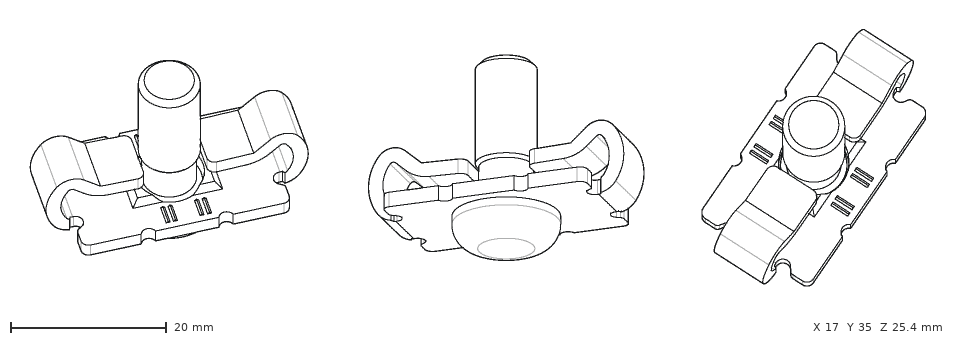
import cadquery as cq
import math

PLATE_HALF_WIDTH = 8.5
PLATE_HALF_LENGTH = 13.9
SHEET = 2.0
CORNER_RADIUS = 1.0

SIDE_NOTCH_RADIUS = 1.0
SIDE_NOTCH_DEPTH = 0.65
SIDE_NOTCH_Y = 5.18

RELIEF_RADIUS = 1.0
RELIEF_X = 4.35
RELIEF_DEPTH = 1.2
RELIEF_SLOPE = math.radians(57)
RELIEF_ROUNDING = 0.6
UNDERCUT_WALL_END_Y = 14.15
UNDERCUT_END_Y = 14.38

PAD_HALF_WIDTH = 4.05
PAD_HALF_LENGTH = 5.98
PAD_HEIGHT = 0.85
HOLE_RADIUS = 4.5

RIDGE_X = 6.25
RIDGE_LENGTH = 2.6
RIDGE_WIDTH = 0.52
RIDGE_HEIGHT = 0.2
RIDGE_Y_PLACES = (3.25, 2.25, -1.3, -2.27)

STRIP_HALF_WIDTH = 3.75
LOOP_END_Y = 17.5
LOOP_TOP_Z = 10.0
TOP_RADIUS = 2.52
TOP_CENTRE_Y = 14.1
BACK_RADIUS = 6.5
FOOT_RADIUS = 3.08
RAMP_ANGLE = math.radians(41.5)
KNEE_Y = 10.2
KNEE_INNER_RADIUS = 5.0
TIP_Y = 4.25
TIP_TOP_Z = 7.25
TIP_CORNER_RADIUS = 1.0

THREAD_RADIUS = 4.0
THREAD_TOP_Z = 21.0
THREAD_BOTTOM_Z = 7.25
TIP_CHAMFER = 0.77
SHANK_RADIUS = 3.55
COLLAR_RADIUS = 4.27
COLLAR_EDGE_Z = 1.12
HEAD_RADIUS = 7.0
HEAD_HEIGHT = 4.4
HEAD_ROUNDING = 3.32


def polar(centre, radius, angle):
    """Point on a circle, at an angle from the first axis of the plane toward its second."""
    return (centre[0] + radius * math.cos(angle), centre[1] + radius * math.sin(angle))


def make_flat_plate():
    plate = (
        cq.Workplane("XY")
        .box(2 * PLATE_HALF_WIDTH, 2 * PLATE_HALF_LENGTH, SHEET, centered=(True, True, False))
        .edges("|Z")
        .fillet(CORNER_RADIUS)
    )
    notch_x = PLATE_HALF_WIDTH - SIDE_NOTCH_DEPTH + SIDE_NOTCH_RADIUS
    side_notches = (
        cq.Workplane("XY")
        .rarray(2 * notch_x, 2 * SIDE_NOTCH_Y, 2, 2)
        .circle(SIDE_NOTCH_RADIUS)
        .extrude(SHEET)
    )
    return plate.cut(side_notches)


def make_relief_notch():
    """Cutter at +X, +Y: a rounded corner and slope run down to a round bottom, which undercuts the strip."""
    bottom_y = PLATE_HALF_LENGTH - RELIEF_DEPTH
    centre = (RELIEF_X, bottom_y + RELIEF_RADIUS)
    slope_end = polar(centre, RELIEF_RADIUS, RELIEF_SLOPE - math.pi / 2)

    rounding_centre_y = PLATE_HALF_LENGTH - RELIEF_ROUNDING
    rounding_end_y = rounding_centre_y + RELIEF_ROUNDING * math.cos(RELIEF_SLOPE)
    slope_start_x = slope_end[0] + (rounding_end_y - slope_end[1]) / math.tan(RELIEF_SLOPE)
    rounding_centre = (slope_start_x + RELIEF_ROUNDING * math.sin(RELIEF_SLOPE), rounding_centre_y)
    slope_start = polar(rounding_centre, RELIEF_ROUNDING, RELIEF_SLOPE + math.pi / 2)
    rounding_middle = polar(rounding_centre, RELIEF_ROUNDING, (RELIEF_SLOPE + math.pi) / 2)

    undercut_x = RELIEF_X - RELIEF_RADIUS
    return (
        cq.Workplane("XY")
        .moveTo(rounding_centre[0], PLATE_HALF_LENGTH)
        .threePointArc(rounding_middle, slope_start)
        .lineTo(*slope_end)
        .threePointArc((RELIEF_X, bottom_y), (undercut_x, centre[1]))
        .lineTo(undercut_x, UNDERCUT_WALL_END_Y)
        .lineTo(STRIP_HALF_WIDTH, UNDERCUT_END_Y)
        .lineTo(rounding_centre[0], UNDERCUT_END_Y)
        .close()
        .extrude(2 * SHEET)
    )


def make_pad():
    return (
        cq.Workplane("XY")
        .workplane(offset=SHEET)
        .rect(2 * PAD_HALF_WIDTH, 2 * PAD_HALF_LENGTH)
        .workplane(offset=PAD_HEIGHT)
        .rect(2 * (PAD_HALF_WIDTH - PAD_HEIGHT), 2 * (PAD_HALF_LENGTH - PAD_HEIGHT))
        .loft(ruled=True)
    )


def make_ridge(x, y):
    return (
        cq.Workplane("YZ")
        .moveTo(y - RIDGE_WIDTH / 2, SHEET)
        .lineTo(y, SHEET + RIDGE_HEIGHT)
        .lineTo(y + RIDGE_WIDTH / 2, SHEET)
        .close()
        .extrude(RIDGE_LENGTH / 2, both=True)
        .translate((x, 0, 0))
    )


def make_strip():
    """Strip at +Y: foot bend, long back, top bend, ramp down to a knee, nearly level tip."""
    top_centre = (TOP_CENTRE_Y, LOOP_TOP_Z - TOP_RADIUS)

    back_y = LOOP_END_Y - BACK_RADIUS
    top_turn = math.acos((TOP_CENTRE_Y - back_y) / (BACK_RADIUS - TOP_RADIUS))
    back_centre = polar(top_centre, TOP_RADIUS - BACK_RADIUS, top_turn)

    foot_turn = math.asin((FOOT_RADIUS - back_centre[1]) / (BACK_RADIUS - FOOT_RADIUS))
    foot_centre = polar(back_centre, BACK_RADIUS - FOOT_RADIUS, foot_turn)

    foot_start = -math.pi / 2
    foot_middle = (foot_start + foot_turn) / 2
    back_middle = (foot_turn + top_turn) / 2
    ramp_normal = math.pi / 2 + RAMP_ANGLE
    top_middle = (top_turn + ramp_normal) / 2

    ramp_top = polar(top_centre, TOP_RADIUS, ramp_normal)
    knee = (KNEE_Y, ramp_top[1] - (ramp_top[0] - KNEE_Y) * math.tan(RAMP_ANGLE))
    tip_normal = math.pi / 2 + math.atan2(knee[1] - TIP_TOP_Z, KNEE_Y - TIP_Y)
    knee_middle = (ramp_normal + tip_normal) / 2
    knee_half_turn = (tip_normal - ramp_normal) / 2
    knee_centre = polar(knee, (KNEE_INNER_RADIUS - SHEET) / math.cos(knee_half_turn), knee_middle)
    tip_bottom_z = TIP_TOP_Z - SHEET / math.sin(tip_normal)

    foot_inner = FOOT_RADIUS - SHEET
    back_inner = BACK_RADIUS - SHEET
    top_inner = TOP_RADIUS - SHEET
    root_y = PLATE_HALF_LENGTH - RELIEF_DEPTH

    profile = (
        cq.Workplane("YZ")
        .moveTo(root_y, 0)
        .lineTo(*polar(foot_centre, FOOT_RADIUS, foot_start))
        .threePointArc(
            polar(foot_centre, FOOT_RADIUS, foot_middle),
            polar(foot_centre, FOOT_RADIUS, foot_turn),
        )
        .threePointArc(
            polar(back_centre, BACK_RADIUS, back_middle),
            polar(back_centre, BACK_RADIUS, top_turn),
        )
        .threePointArc(polar(top_centre, TOP_RADIUS, top_middle), ramp_top)
        .lineTo(*knee)
        .lineTo(TIP_Y, TIP_TOP_Z)
        .lineTo(TIP_Y, tip_bottom_z)
        .lineTo(*polar(knee_centre, -KNEE_INNER_RADIUS, tip_normal))
        .threePointArc(
            polar(knee_centre, -KNEE_INNER_RADIUS, knee_middle),
            polar(knee_centre, -KNEE_INNER_RADIUS, ramp_normal),
        )
        .lineTo(*polar(top_centre, top_inner, ramp_normal))
        .threePointArc(
            polar(top_centre, top_inner, top_middle),
            polar(top_centre, top_inner, top_turn),
        )
        .threePointArc(
            polar(back_centre, back_inner, back_middle),
            polar(back_centre, back_inner, foot_turn),
        )
        .threePointArc(
            polar(foot_centre, foot_inner, foot_middle),
            polar(foot_centre, foot_inner, foot_start),
        )
        .lineTo(root_y, SHEET)
        .close()
    )
    strip = profile.extrude(STRIP_HALF_WIDTH, both=True)
    return strip.edges("|Z").edges("<Y").fillet(TIP_CORNER_RADIUS)


def make_spring_plate():
    strip = make_strip()
    plate = make_flat_plate().union(strip).union(strip.mirror("XZ")).union(make_pad())
    relief = make_relief_notch()
    for notch in (relief, relief.mirror("YZ")):
        plate = plate.cut(notch).cut(notch.mirror("XZ"))
    for x in (-RIDGE_X, RIDGE_X):
        for y in RIDGE_Y_PLACES:
            plate = plate.union(make_ridge(x, y))
    hole = cq.Workplane("XY").circle(HOLE_RADIUS).extrude(SHEET + PAD_HEIGHT)
    return plate.cut(hole)


def make_screw():
    """Turned about Z: pan head under the plate, collar in its hole, shank and thread above."""
    collar_top_z = COLLAR_EDGE_Z + COLLAR_RADIUS - SHANK_RADIUS
    shank_top_z = THREAD_BOTTOM_Z - (THREAD_RADIUS - SHANK_RADIUS)
    rounding_middle = polar(
        (HEAD_RADIUS - HEAD_ROUNDING, HEAD_ROUNDING - HEAD_HEIGHT), HEAD_ROUNDING, -math.pi / 4
    )
    return (
        cq.Workplane("XZ")
        .moveTo(0, -HEAD_HEIGHT)
        .lineTo(HEAD_RADIUS - HEAD_ROUNDING, -HEAD_HEIGHT)
        .threePointArc(rounding_middle, (HEAD_RADIUS, HEAD_ROUNDING - HEAD_HEIGHT))
        .lineTo(HEAD_RADIUS, 0)
        .lineTo(COLLAR_RADIUS, 0)
        .lineTo(COLLAR_RADIUS, COLLAR_EDGE_Z)
        .lineTo(SHANK_RADIUS, collar_top_z)
        .lineTo(SHANK_RADIUS, shank_top_z)
        .lineTo(THREAD_RADIUS, THREAD_BOTTOM_Z)
        .lineTo(THREAD_RADIUS, THREAD_TOP_Z - TIP_CHAMFER)
        .lineTo(THREAD_RADIUS - TIP_CHAMFER, THREAD_TOP_Z)
        .lineTo(0, THREAD_TOP_Z)
        .close()
        .revolve(360, (0, 0, 0), (0, 1, 0))
    )


spring_plate = make_spring_plate()
screw = make_screw()

result = cq.Compound.makeCompound([spring_plate.val(), screw.val()])